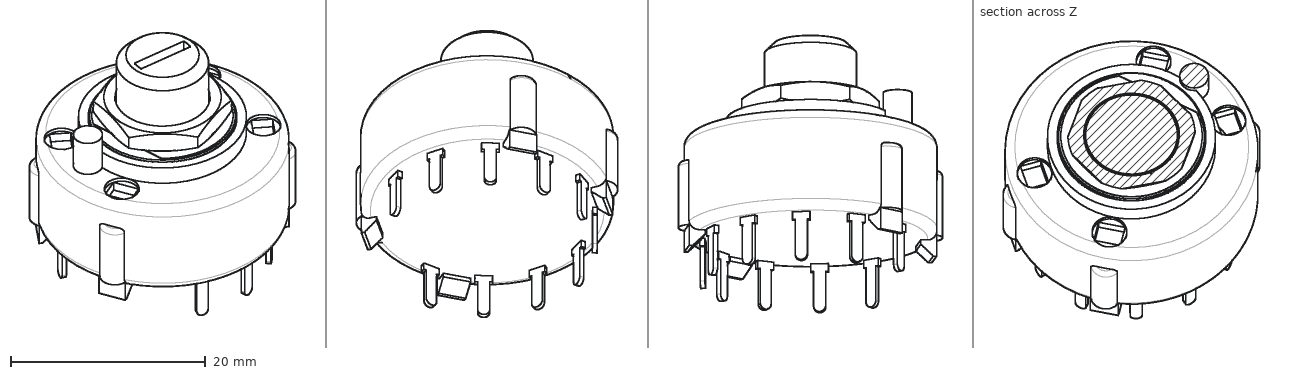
import cadquery as cq
import math


housing_diameter = 26.0
housing_height = 10.55
rim_radius = 1.0
cavity_diameter = 24.0
cover_thickness = 1.38
floor_thickness = 1.0

boss_diameter = 17.26
boss_top = 12.53
groove_diameter = 15.3
groove_depth = 0.2

washer_diameter = 15.0
washer_top = 12.7
lock_washer_diameter = 14.53
lock_washer_top = 12.75
lock_flat_distance = 5.67
lock_flat_angle = -76.0

nut_across_flats = 12.3
nut_top = 15.08
nut_angle = -5.5
nut_bore = 9.78
nut_face_diameter = 12.06
nut_chamfer_angle = 25.0

bushing_diameter = 9.5
bushing_top = 20.55
bushing_chamfer = 1.0
shaft_diameter = 6.37
slot_width = 1.17
slot_depth = 2.0

peg_diameter = 3.0
peg_top = 14.55
peg_offset = 9.52

station_angle = 60.0

recess_diameter = 3.55
recess_depth = 0.4
recess_distance = 10.43
opening_radial = 2.2
opening_tangential = math.sqrt(recess_diameter**2 - opening_radial**2)

rib_diameter = 3.17
rib_distance = 12.17
rib_bottom = 0.55
rib_top = 7.51
rib_round = 0.47

foot_face_distance = 12.92
foot_width = 2.95
foot_bottom = -1.7
foot_knee = -0.47
foot_length_top = 1.65
foot_length_bottom = 0.36
foot_skew = 6.5

pin_positions = 12
vacant_positions = (9, 10)
overall_height = 25.6
pin_circle_radius = 11.08
pin_thickness = 0.5
pin_width = 1.25
pin_bottom = bushing_top - overall_height
shoulder_width = 1.82
shoulder_bottom = -0.8


def disc(diameter, bottom, top):
    return cq.Workplane("XY").workplane(offset=bottom).circle(diameter / 2).extrude(top - bottom)


def around(shape, angle):
    return shape.rotate((0, 0, 0), (0, 0, 1), angle)


def make_housing():
    return disc(housing_diameter, 0, housing_height).edges().fillet(rim_radius)


def make_boss():
    groove_floor = boss_top - groove_depth
    boss = disc(boss_diameter, housing_height, boss_top)
    return boss.cut(disc(groove_diameter, groove_floor, boss_top)).union(
        disc(washer_diameter, groove_floor, washer_top)
    )


def make_lock_washer():
    washer = disc(lock_washer_diameter, washer_top, lock_washer_top)
    beyond_flat = (
        cq.Workplane("XY", origin=(0, 0, washer_top))
        .center(lock_flat_distance + lock_washer_diameter / 2, 0)
        .rect(lock_washer_diameter, lock_washer_diameter)
        .extrude(lock_washer_top - washer_top)
    )
    return washer.cut(around(beyond_flat, lock_flat_angle))


def make_nut():
    corner_radius = nut_across_flats / math.sqrt(3)
    face_radius = nut_face_diameter / 2
    bore_radius = nut_bore / 2
    chamfer_height = (corner_radius - face_radius) * math.tan(math.radians(nut_chamfer_angle))
    hexagon = (
        cq.Workplane("XY", origin=(0, 0, lock_washer_top))
        .polygon(6, 2 * corner_radius)
        .extrude(nut_top - lock_washer_top)
    )
    envelope = (
        cq.Workplane("XZ")
        .moveTo(bore_radius, lock_washer_top)
        .lineTo(face_radius, lock_washer_top)
        .lineTo(corner_radius, lock_washer_top + chamfer_height)
        .lineTo(corner_radius, nut_top - chamfer_height)
        .lineTo(face_radius, nut_top)
        .lineTo(bore_radius, nut_top)
        .close()
        .revolve(360, (0, 0, 0), (0, 1, 0))
    )
    return around(hexagon.intersect(envelope), nut_angle)


def make_bushing():
    bushing = disc(bushing_diameter, boss_top, bushing_top).faces(">Z").chamfer(bushing_chamfer)
    slot = (
        cq.Workplane("XY", origin=(0, 0, bushing_top - slot_depth))
        .rect(slot_width, shaft_diameter)
        .extrude(slot_depth)
        .intersect(disc(shaft_diameter, bushing_top - slot_depth, bushing_top))
    )
    return bushing.cut(slot)


def make_peg():
    return disc(peg_diameter, housing_height, peg_top).translate((0, -peg_offset, 0))


def make_cavity():
    return disc(cavity_diameter, floor_thickness, housing_height - cover_thickness)


def make_recess():
    recess = disc(recess_diameter, housing_height - recess_depth, housing_height)
    opening = (
        cq.Workplane("XY", origin=(0, 0, housing_height - cover_thickness))
        .rect(opening_radial, opening_tangential)
        .extrude(cover_thickness)
    )
    return recess.union(opening).translate((recess_distance, 0, 0))


def make_rib():
    rib = disc(rib_diameter, rib_bottom, rib_top).faces(">Z").edges().fillet(rib_round)
    return rib.translate((rib_distance, 0, 0))


def make_foot():
    inner_face = foot_face_distance - foot_length_top
    wedge = (
        cq.Workplane("XZ")
        .moveTo(foot_face_distance, rib_bottom)
        .lineTo(foot_face_distance, foot_bottom)
        .lineTo(foot_face_distance - foot_length_bottom, foot_bottom)
        .lineTo(inner_face, foot_knee)
        .lineTo(inner_face, rib_bottom)
        .close()
        .extrude(foot_width, both=True)
    )
    skew_shift = foot_length_top * math.tan(math.radians(foot_skew))
    column = (
        cq.Workplane("XY", origin=(0, 0, foot_bottom))
        .moveTo(foot_face_distance, -foot_width / 2)
        .lineTo(foot_face_distance, foot_width / 2)
        .lineTo(inner_face, foot_width / 2 - skew_shift)
        .lineTo(inner_face, -foot_width / 2 - skew_shift)
        .close()
        .extrude(rib_bottom - foot_bottom)
    )
    return wedge.intersect(column)


def at_four_stations(shape):
    """Turn a shape from the X axis to its station and mirror it into every quadrant."""
    first = around(shape, station_angle)
    pair = first.union(first.mirror("YZ"))
    return pair.union(pair.mirror("XZ"))


def make_pin():
    tip_radius = pin_width / 2
    blade = (
        cq.Workplane("YZ")
        .moveTo(-tip_radius, 0)
        .lineTo(-tip_radius, pin_bottom + tip_radius)
        .threePointArc((0, pin_bottom), (tip_radius, pin_bottom + tip_radius))
        .lineTo(tip_radius, 0)
        .close()
        .extrude(pin_thickness / 2, both=True)
    )
    shoulder = (
        cq.Workplane("XY", origin=(0, 0, shoulder_bottom))
        .rect(pin_thickness, shoulder_width)
        .extrude(floor_thickness - shoulder_bottom)
    )
    return blade.union(shoulder).translate((pin_circle_radius, 0, 0))


result = make_housing()
for part in (make_boss(), make_lock_washer(), make_nut(), make_bushing(), make_peg()):
    result = result.union(part)
result = result.union(at_four_stations(make_rib()))
result = result.cut(make_cavity())
result = result.cut(at_four_stations(make_recess()))
result = result.union(at_four_stations(make_foot()))

pin = make_pin()
pin_pitch = 360 / pin_positions
for position in range(pin_positions):
    if position not in vacant_positions:
        result = result.union(around(pin, (position + 0.5) * pin_pitch))